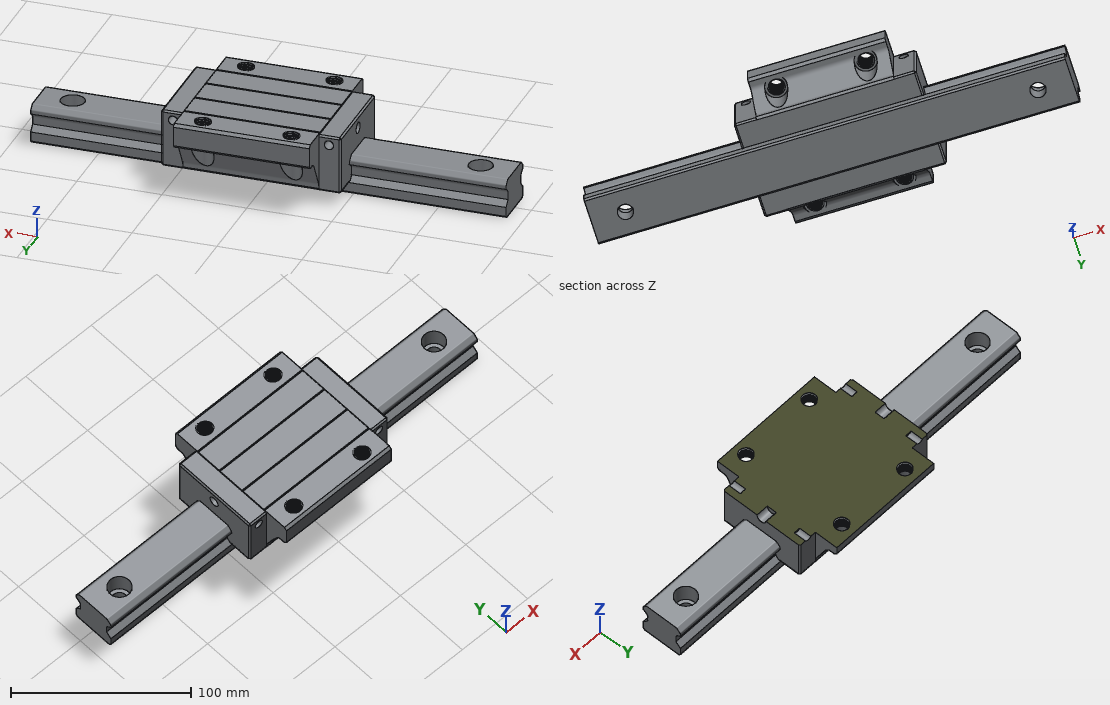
import cadquery as cq
rail_length = 280.0
rail_height = 23.0
rail_half_width = 14.0
rail_top_half_width = 11.2
rail_waist_half_width = 10.5
rail_bottom_chamfer = 1.0
rail_foot_height = 6.7
rail_waist_bottom = 10.0
rail_waist_top = 14.8
rail_knee_half_width = 11.8
rail_knee_height = 16.2
rail_head_bottom = 18.0
rail_head_top = 20.2
rail_shoulder_fillet = 1.0
rail_waist_fillet = 2.0
rail_hole_dia = 9.0
rail_counterbore_dia = 14.0
rail_counterbore_depth = 12.0
rail_hole_end_distance = 20.0

carriage_x = 5.0
carriage_top = 42.0
carriage_bottom = 6.7
block_length = 80.0
block_half_width = 44.95
block_skirt_half_width = 29.0
block_skirt_top = 10.5
block_skirt_fillet = 2.8
block_bottom_chamfer = 1.5
flange_bottom = 27.2
flange_chamfer = 1.7
flank_top_half_width = 38.0
flank_fillet = 3.5
groove_width = 0.5
groove_depth = 0.5
groove_ys = (-27.0, -9.2, 9.2, 27.0)

mount_hole_dia = 8.5
mount_thread_dia = 10.0
thread_pitch = 1.5
thread_mouth = 1.0
thread_root = 0.3
thread_inset = 0.3
mount_hole_spacing_x = 52.0
mount_hole_spacing_y = 72.0
mount_relief_dia = 13.0

cap_length = 13.0
cap_half_width = 28.8
cap_top = 41.2
cap_chamfer = 1.0
end_port_dia = 6.5
end_port_z = 34.2
side_port_dia = 5.3
side_port_z = 35.8
side_port_x = 46.0
port_depth = 8.5


def mirrored_outline(right_half):
    """Closed YZ outline made of a right half, listed from bottom to top, and its mirror image."""
    left_half = [(-y, z) for y, z in reversed(right_half)]
    return cq.Workplane("YZ").polyline(right_half + left_half).close()


def fillet_both_sides(body, y, z, radius):
    """Round the lengthwise edge at (y, z) and its mirror image at (-y, z)."""
    for edge_y in (-y, y):
        edge = cq.selectors.NearestToPointSelector((0, edge_y, z))
        body = body.edges(edge).fillet(radius)
    return body


def rail_bar():
    """Solid rail section, without its screw holes."""
    half = [
        (rail_half_width - rail_bottom_chamfer, 0),
        (rail_half_width, rail_bottom_chamfer),
        (rail_half_width, rail_foot_height),
        (rail_waist_half_width, rail_waist_bottom),
        (rail_waist_half_width, rail_waist_top),
        (rail_knee_half_width, rail_knee_height),
        (rail_half_width, rail_head_bottom),
        (rail_half_width, rail_head_top),
        (rail_top_half_width, rail_height),
    ]
    bar = mirrored_outline(half).extrude(rail_length / 2, both=True)
    bar = fillet_both_sides(bar, rail_waist_half_width, rail_waist_top, rail_waist_fillet)
    bar = fillet_both_sides(bar, rail_half_width, rail_head_top, rail_shoulder_fillet)
    return fillet_both_sides(bar, rail_top_half_width, rail_height, rail_shoulder_fillet)


def make_rail():
    """Rail with a counterbored screw hole near each end."""
    hole_x = rail_length / 2 - rail_hole_end_distance
    return (
        rail_bar()
        .faces(">Z").workplane(origin=(0, 0, rail_height))
        .pushPoints([(-hole_x, 0), (hole_x, 0)])
        .cboreHole(rail_hole_dia, rail_counterbore_dia, rail_counterbore_depth)
    )


def block():
    """Flanged middle block, centred on X = 0."""
    half = [
        (block_skirt_half_width - block_bottom_chamfer, carriage_bottom),
        (block_skirt_half_width, carriage_bottom + block_bottom_chamfer),
        (block_skirt_half_width, block_skirt_top),
        (flank_top_half_width, flange_bottom),
        (block_half_width - flange_chamfer, flange_bottom),
        (block_half_width, flange_bottom + flange_chamfer),
        (block_half_width, carriage_top - flange_chamfer),
        (block_half_width - flange_chamfer, carriage_top),
    ]
    body = mirrored_outline(half).extrude(block_length / 2, both=True)
    body = fillet_both_sides(body, flank_top_half_width, flange_bottom, flank_fillet)
    return fillet_both_sides(body, block_skirt_half_width, block_skirt_top, block_skirt_fillet)


def top_grooves():
    """Shallow lengthwise grooves in the top face of the block."""
    return (
        cq.Workplane("XY", origin=(0, 0, carriage_top - groove_depth))
        .pushPoints([(0, y) for y in groove_ys])
        .rect(block_length, groove_width)
        .extrude(groove_depth)
    )


def mount_points():
    """The four flange hole positions."""
    return (
        cq.Workplane("XY")
        .rect(mount_hole_spacing_x, mount_hole_spacing_y, forConstruction=True)
        .vertices()
    )


def mount_holes():
    """Bores through the flanges, each with a wider relief cut into the flank below it."""
    bores = mount_points().circle(mount_hole_dia / 2).extrude(carriage_top)
    reliefs = mount_points().circle(mount_relief_dia / 2).extrude(flange_bottom)
    return bores.union(reliefs)


def thread_groove():
    """Helical groove of one flange thread, on the Z axis, running out through both flange faces."""
    inner_radius = mount_hole_dia / 2 - thread_inset
    outer_radius = mount_thread_dia / 2
    start_z = flange_bottom - thread_pitch
    height = carriage_top - flange_bottom + 2 * thread_pitch
    helix = cq.Wire.makeHelix(thread_pitch, height, mount_hole_dia / 2).translate(cq.Vector(0, 0, start_z))
    groove_section = [
        (inner_radius, start_z - thread_mouth / 2),
        (inner_radius, start_z + thread_mouth / 2),
        (outer_radius, start_z + thread_root / 2),
        (outer_radius, start_z - thread_root / 2),
    ]
    return (
        cq.Workplane("XZ").polyline(groove_section).close()
        .sweep(cq.Workplane(obj=helix), isFrenet=True)
    )


def cut_mount_threads(body):
    """Cut the thread grooves first and the bores after them, so the bores trim the grooves cleanly."""
    groove = thread_groove()
    for point in mount_points().vals():
        body = body.cut(groove.translate(point.Center()))
    return body.cut(mount_holes())


def end_cap():
    """End cap on the -X end of the block."""
    outer_x = -block_length / 2 - cap_length
    cap_height = cap_top - carriage_bottom
    cap = (
        cq.Workplane("XY")
        .box(cap_length, 2 * cap_half_width, cap_height, centered=(False, True, False))
        .translate((outer_x, 0, carriage_bottom))
        .edges("not >X").chamfer(cap_chamfer)
    )
    end_port = (
        cq.Workplane("YZ", origin=(outer_x, 0, end_port_z))
        .circle(end_port_dia / 2).extrude(port_depth)
    )
    cap = cap.cut(end_port)
    for side in (-1, 1):
        side_port = (
            cq.Workplane("XZ", origin=(-side_port_x, side * cap_half_width, side_port_z))
            .circle(side_port_dia / 2).extrude(side * port_depth)
        )
        cap = cap.cut(side_port)
    return cap


def make_carriage():
    """Block with an end cap on each end, wrapped around the rail."""
    first_cap = end_cap()
    second_cap = first_cap.mirror("YZ")
    body = cut_mount_threads(block().cut(top_grooves()))
    body = body.union(first_cap).union(second_cap)
    return body.translate((carriage_x, 0, 0)).cut(rail_bar())


rail = make_rail()
carriage = make_carriage()
result = cq.Compound.makeCompound([rail.solids().val(), carriage.solids().val()])